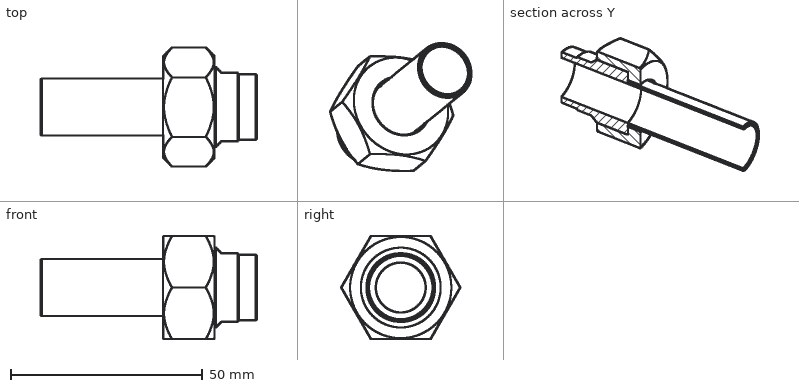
import cadquery as cq
import math


bore_dia = 13.0
total_length = 56.5

tube_dia = 15.0
tube_end_chamfer = 0.3

nut_start = 32.0
nut_length = 13.5
nut_end = nut_start + nut_length
nut_across_flats = 27.0
nut_face_dia = 26.5
nut_lip_length = 4.0
nut_front_bore_dia = 15.5
nut_front_bore_chamfer = 0.3

shank_dia = 20.9
shank_start = nut_start + nut_lip_length
shank_reveal = 0.3
shank_end = nut_end + shank_reveal
collar_dia = 18.0
cone_angle = math.radians(45)
cone_fillet = 0.3
spigot_dia = 17.2
spigot_length = 4.7
spigot_chamfer = 0.3


def cylinder(x_start, x_end, diameter):
    """Solid cylinder on the X axis between two stations."""
    return cq.Workplane("YZ", origin=(x_start, 0, 0)).circle(diameter / 2).extrude(x_end - x_start)


def revolve_about_x(profile_points):
    """Closed half-profile of (x, radius) points turned about the X axis."""
    return cq.Workplane("XY").polyline(profile_points).close().revolve(360, (0, 0, 0), (1, 0, 0))


def make_tube():
    """Straight tube with both rims of its free end broken; its other end butts on the shank."""
    tube = cylinder(0, shank_start, tube_dia).cut(cylinder(0, shank_start, bore_dia))
    return tube.faces("<X").edges().chamfer(tube_end_chamfer)


def make_nut():
    """Hexagon with 45 degree corner chamfers, a chamfered clearance hole in front and a shank bore behind."""
    corner_dia = nut_across_flats / math.cos(math.pi / 6)
    face_radius = nut_face_dia / 2
    corner_chamfer = (corner_dia - nut_face_dia) / 2

    hexagon = cq.Workplane("YZ", origin=(nut_start, 0, 0)).polygon(6, corner_dia).extrude(nut_length)
    chamfer_envelope = revolve_about_x([
        (nut_start, 0),
        (nut_start, face_radius),
        (nut_start + corner_chamfer, corner_dia / 2),
        (nut_end - corner_chamfer, corner_dia / 2),
        (nut_end, face_radius),
        (nut_end, 0),
    ])
    nut = hexagon.intersect(chamfer_envelope)
    nut = nut.cut(cylinder(nut_start, shank_start, nut_front_bore_dia))
    nut = nut.cut(cylinder(shank_start, nut_end, shank_dia))
    front_rim = nut.faces("<X").edges(cq.selectors.RadiusNthSelector(0))
    return front_rim.chamfer(nut_front_bore_chamfer)


def make_end_piece():
    """Shank filling the nut, a cone down to a collar, and a chamfered spigot."""
    cone_end = shank_end + (shank_dia - collar_dia) / 2 / math.tan(cone_angle)
    spigot_start = total_length - spigot_length
    collar_chamfer = (collar_dia - spigot_dia) / 2

    tangent_length = cone_fillet * math.tan(cone_angle / 2)
    tangent_run = tangent_length * math.cos(cone_angle)
    tangent_rise = tangent_length * math.sin(cone_angle)
    fillet_end = cone_end + tangent_length
    fillet_middle = (
        fillet_end - cone_fillet * math.sin(cone_angle / 2),
        collar_dia / 2 + cone_fillet * (1 - math.cos(cone_angle / 2)),
    )

    profile = (
        cq.Workplane("XY")
        .moveTo(shank_start, bore_dia / 2)
        .lineTo(shank_start, shank_dia / 2)
        .lineTo(shank_end, shank_dia / 2)
        .lineTo(cone_end - tangent_run, collar_dia / 2 + tangent_rise)
        .threePointArc(fillet_middle, (fillet_end, collar_dia / 2))
        .lineTo(spigot_start - collar_chamfer, collar_dia / 2)
        .lineTo(spigot_start, spigot_dia / 2)
        .lineTo(total_length - spigot_chamfer, spigot_dia / 2)
        .lineTo(total_length, spigot_dia / 2 - spigot_chamfer)
        .lineTo(total_length, bore_dia / 2)
        .close()
    )
    return profile.revolve(360, (0, 0, 0), (1, 0, 0))


tube = make_tube()
nut = make_nut()
end_piece = make_end_piece()

result = cq.Compound.makeCompound([tube.val(), nut.val(), end_piece.val()])